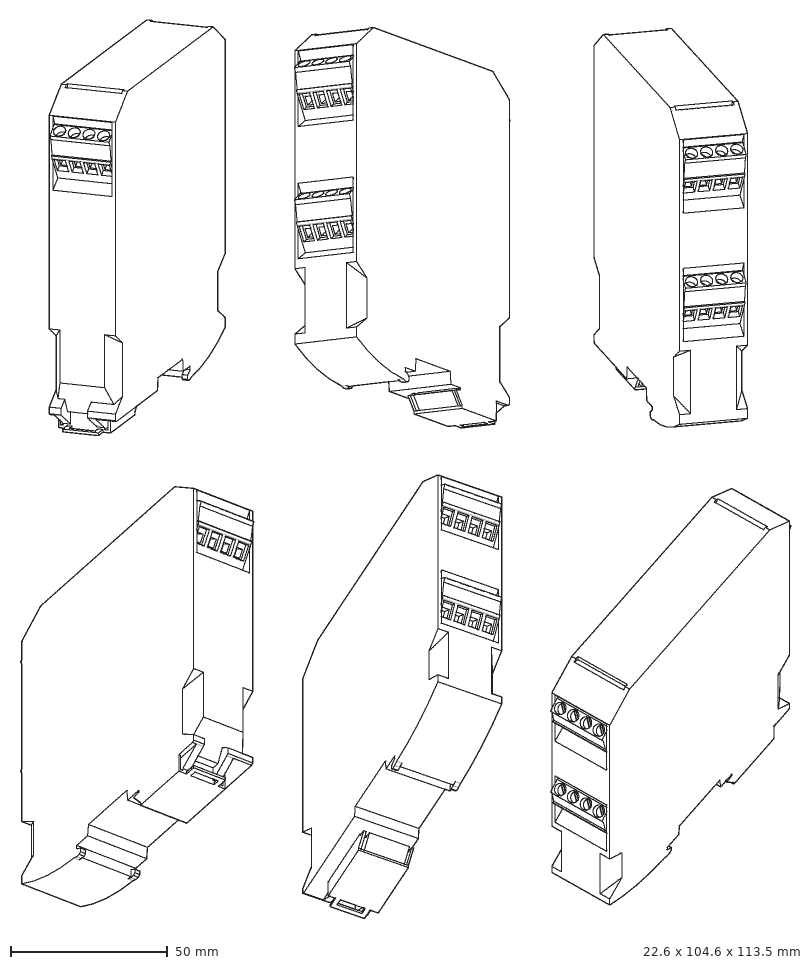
import cadquery as cq
import math


width = 22.6
half_width = width / 2
half_depth = 49.8
height = 113.5
shoulder_z = 106.2
half_top = 38.8
base_z = 6.5
shoulder_slope = (height - shoulder_z) / (half_depth - half_top)

slot_top_z = 10.65
slot_half_top = 11.1
slot_half_mouth = 11.6
hook_root_y = 17.9
belly_end_z = 2.5
belly_mid = (36.0, 5.3)
cheek_width = 1.9
cheek_tip_y = 15.65
cheek_bottom_z = 2.1
cheek_notch_z = 5.3
cheek_nose_top_z = 4.1
cheek_nose_bottom_z = 2.7
cheek_chamfer_y = 0.8
cheek_overlap = 2.0

lip_top_z = 9.2
lip_bottom_z = 7.0
lip_chamfer_y = 0.7
lip_meet = (-46.5, 11.3)
front_slope_z = 17.6

front_grip_depth = 6.4
rear_grip_depth = 6.75
grip_depth_x = 3.7
grip_top_z = 35.2
grip_taper_z = 4.1
rear_grip_bottom_z = 13.9

groove_half_width = 9.6
groove_wall_y = 37.7
groove_edge_y = 39.8
groove_floor_z = 111.9

terminal_half_width = 10.05
tip_y = 52.315
tip_z = 100.1
screw_face_back = (48.6, 102.9)
label_top = (51.5, 98.7)
label_bottom = (50.45, 93.3)
ledge = (51.0, 93.1)
heel = (50.5, 92.1)
throat = (45.2, 84.2)
bay_depth = 8.0
bay_back_y = half_depth - bay_depth
bay_top_z = 106.0
bay_bottom_z = 81.4
bay_ceiling_inner = (47.3, 102.0)
lower_terminal_drop = 43.1
pole_count = 4
pole_pitch = 5.0

screw_bore_diameter = 3.9
screw_bore_depth = 3.0
screw_slot_width = 0.7
screw_slot_depth = 0.5
screw_slot_angle = 45

socket_width = 3.8
socket_top_z = 91.8
socket_bottom_z = 87.3
socket_depth = 2.0
clamp_width = 2.5
clamp_top_z = 90.3
clamp_bottom_z = 87.8
clamp_depth = 6.0

foot_right_x = 6.4
foot_left_wall = 0.7
foot_right_wall = 0.9
foot_floor = 0.95
foot_front_y = -41.2
foot_back_y = -18.9
latch_tip = (-15.0, 5.3)
latch_root = (-17.85, 5.9)
tab_front_y = -45.3
tab_left_x = -8.4
tab_right_x = 3.8
tab_rim = 1.7
core_left_x = -9.8
core_right_x = 4.35
channel_left_x = -7.2
channel_right_x = 1.8
rib_bottom_z = 1.6


def prism(points, x_min, x_max):
    """Extrude a closed outline of (y, z) points from x_min to x_max."""
    return cq.Workplane("YZ", origin=(x_min, 0, 0)).polyline(points).close().extrude(x_max - x_min)


def case_body():
    """Case with cut top corners, rail slot, curved belly at the rear and lip at the front."""
    outline = (
        cq.Workplane("YZ", origin=(-half_width, 0, 0))
        .moveTo(-half_top, height)
        .lineTo(half_top, height)
        .lineTo(half_depth, shoulder_z)
        .lineTo(half_depth, slot_top_z)
        .threePointArc(belly_mid, (hook_root_y, belly_end_z))
        .lineTo(hook_root_y, base_z)
        .lineTo(slot_half_mouth, base_z)
        .lineTo(slot_half_top, slot_top_z)
        .lineTo(-slot_half_top, slot_top_z)
        .lineTo(-slot_half_mouth, base_z)
        .lineTo(lip_chamfer_y - half_depth, base_z)
        .lineTo(-half_depth, lip_bottom_z)
        .lineTo(-half_depth, lip_top_z)
        .lineTo(*lip_meet)
        .lineTo(-half_depth, front_slope_z)
        .lineTo(-half_depth, shoulder_z)
        .close()
    )
    return outline.extrude(width)


def hook_cheek(x_min):
    """Plate beside the belly that hooks under the rail flange."""
    buried_y = hook_root_y + cheek_overlap
    points = [
        (buried_y, cheek_notch_z),
        (hook_root_y, cheek_notch_z),
        (cheek_tip_y, cheek_nose_top_z),
        (cheek_tip_y, cheek_nose_bottom_z),
        (cheek_tip_y + cheek_chamfer_y, cheek_bottom_z),
        (hook_root_y, cheek_bottom_z),
        (buried_y, cheek_nose_bottom_z),
    ]
    return prism(points, x_min, x_min + cheek_width)


def grip_recess(end, side, depth, bottom_points):
    """Slanted recess on one vertical edge; end and side are the signs of Y and X."""
    inner_y = half_depth - depth
    points = [(half_depth, grip_top_z), (inner_y, grip_top_z - grip_taper_z)] + bottom_points
    slab = prism([(end * y, z) for y, z in points], -half_width, half_width)
    corner = [
        (side * half_width, end * inner_y),
        (side * half_width, end * half_depth),
        (side * (half_width - grip_depth_x), end * half_depth),
    ]
    wedge = cq.Workplane("XY").polyline(corner).close().extrude(grip_top_z)
    return slab.intersect(wedge)


def cover_groove():
    """V-shaped groove at the front end of the top cover."""
    edge_z = height - (groove_edge_y - half_top) * shoulder_slope
    points = [
        (-groove_edge_y, edge_z),
        (-groove_wall_y, groove_floor_z),
        (-groove_wall_y, height),
        (-groove_edge_y, height),
    ]
    return prism(points, -groove_half_width, groove_half_width)


def terminal_bay():
    """Opening in the front face with a falling ceiling and a rising floor."""
    points = [
        (-half_depth, bay_bottom_z),
        (-throat[0], throat[1]),
        (-bay_back_y, throat[1]),
        (-bay_back_y, bay_ceiling_inner[1]),
        (-bay_ceiling_inner[0], bay_ceiling_inner[1]),
        (-half_depth, bay_top_z),
    ]
    return prism(points, -terminal_half_width, terminal_half_width)


def face_plane(lower, upper):
    """Plane on a terminal face given by two (y, z) points; local x is X, local y runs up the face."""
    rise_y = upper[0] - lower[0]
    rise_z = upper[1] - lower[1]
    origin = (0, (lower[0] + upper[0]) / 2, (lower[1] + upper[1]) / 2)
    return cq.Plane(origin=origin, xDir=(1, 0, 0), normal=(0, -rise_z, rise_y))


def screw_openings(pole_points):
    """Screw bores in the upper face, with a slot across each screw head."""
    plane = face_plane((-tip_y, tip_z), (-screw_face_back[0], screw_face_back[1]))
    bores = (
        cq.Workplane(plane).pushPoints(pole_points)
        .circle(screw_bore_diameter / 2).extrude(-screw_bore_depth)
    )
    slots = (
        cq.Workplane(plane).pushPoints(pole_points)
        .slot2D(screw_bore_diameter, screw_slot_width, screw_slot_angle)
        .extrude(-screw_bore_depth - screw_slot_depth)
    )
    return bores.union(slots)


def wire_openings(pole_points, opening_width, bottom_z, top_z, depth):
    """Rectangular openings in the slanted lower face, between two heights on that face."""
    lower = (-throat[0], throat[1])
    upper = (-heel[0], heel[1])
    plane = face_plane(lower, upper)
    stretch = math.dist(lower, upper) / (upper[1] - lower[1])
    middle_z = (lower[1] + upper[1]) / 2
    offset = ((bottom_z + top_z) / 2 - middle_z) * stretch
    return (
        cq.Workplane(plane).pushPoints([(x, offset) for x, _ in pole_points])
        .rect(opening_width, (top_z - bottom_z) * stretch).extrude(-depth)
    )


def terminal_block():
    """Four-pole screw terminal for the front upper bay."""
    points = [
        (-bay_back_y, screw_face_back[1]),
        (-screw_face_back[0], screw_face_back[1]),
        (-tip_y, tip_z),
        (-label_top[0], label_top[1]),
        (-label_bottom[0], label_bottom[1]),
        (-ledge[0], ledge[1]),
        (-heel[0], heel[1]),
        (-throat[0], throat[1]),
        (-bay_back_y, throat[1]),
    ]
    pole_points = [((i - (pole_count - 1) / 2) * pole_pitch, 0) for i in range(pole_count)]
    block = prism(points, -terminal_half_width, terminal_half_width)
    block = block.cut(screw_openings(pole_points))
    block = block.cut(wire_openings(pole_points, socket_width, socket_bottom_z, socket_top_z, socket_depth))
    return block.cut(wire_openings(pole_points, clamp_width, clamp_bottom_z, clamp_top_z, clamp_depth))


def latching_foot():
    """Tray-shaped foot around a solid core, with a latch edge at the rail and a front tab."""
    side = [
        (foot_front_y, 0),
        (foot_back_y, 0),
        (foot_back_y, foot_floor),
        latch_tip,
        latch_root,
        (latch_root[0], base_z),
        (foot_front_y, base_z),
    ]
    floor = [(foot_front_y, 0), (foot_back_y, 0), (foot_back_y, foot_floor), (foot_front_y, foot_floor)]
    tab = [(tab_front_y, 0), (foot_front_y, 0), (foot_front_y, foot_floor), (tab_front_y, foot_floor)]
    slot_y = tab_front_y + tab_rim
    tab_slot = [(slot_y, 0), (foot_front_y, 0), (foot_front_y, foot_floor), (slot_y, foot_floor)]
    rib = [(foot_front_y, rib_bottom_z), (foot_front_y, base_z), (lip_chamfer_y - half_depth, base_z)]
    foot = prism(floor, -half_width, foot_right_x)
    foot = foot.union(prism(side, -half_width, foot_left_wall - half_width))
    foot = foot.union(prism(side, foot_right_x - foot_right_wall, foot_right_x))
    foot = foot.union(prism(side, core_left_x, core_right_x))
    foot = foot.union(prism(tab, tab_left_x, tab_right_x))
    foot = foot.cut(prism(tab_slot, tab_left_x + tab_rim, tab_right_x - tab_rim))
    foot = foot.union(prism(rib, core_left_x, channel_left_x))
    return foot.union(prism(rib, channel_right_x, core_right_x))


def lip_channel():
    """Gap in the front lip, continuing the underside slope down to the foot."""
    slope = (lip_meet[0] + half_depth) / (front_slope_z - lip_meet[1])
    end_y = lip_meet[0] + (lip_meet[1] - base_z) * slope
    points = [(-half_depth, front_slope_z), (end_y, base_z), (-half_depth, base_z)]
    return prism(points, channel_left_x, channel_right_x)


def front_and_rear(shape):
    """The shape together with its mirror image at the rear."""
    return [shape, shape.mirror("XZ")]


body = case_body()
for cheek_x in (-half_width, half_width - cheek_width):
    body = body.union(hook_cheek(cheek_x))

lip_slope = (lip_meet[1] - lip_top_z) / (lip_meet[0] + half_depth)
front_grip_bottom = [
    (half_depth - front_grip_depth, lip_top_z + lip_slope * front_grip_depth),
    (half_depth, lip_top_z),
]
rear_grip_bottom = [
    (half_depth - rear_grip_depth, rear_grip_bottom_z + grip_taper_z),
    (half_depth, rear_grip_bottom_z),
]
for side_sign in (-1, 1):
    body = body.cut(grip_recess(-1, side_sign, front_grip_depth, front_grip_bottom))
    body = body.cut(grip_recess(1, side_sign, rear_grip_depth, rear_grip_bottom))

for groove in front_and_rear(cover_groove()):
    body = body.cut(groove)

front_bay, rear_bay = front_and_rear(terminal_bay())
front_block, rear_block = front_and_rear(terminal_block())
drop = (0, 0, -lower_terminal_drop)
for bay in (front_bay, rear_bay, rear_bay.translate(drop)):
    body = body.cut(bay)
for block in (front_block, rear_block, rear_block.translate(drop)):
    body = body.union(block)

result = body.cut(lip_channel()).union(latching_foot()).solids()